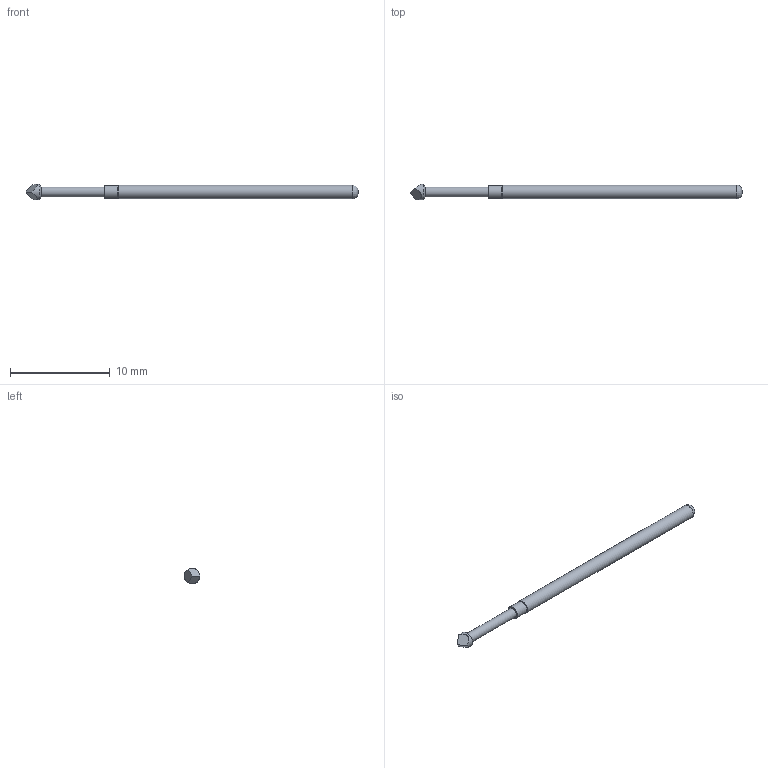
import cadquery as cq
import math

overall_length = 33.28
AXIS_START = (0, 0, 0)
AXIS_END = (1, 0, 0)
FULL_TURN = 360

head_radius = 0.785
head_length = 1.52
head_chamfer_length = 0.15
tip_face_count = 3
tip_face_angle = 35.0

plunger_radius = 0.5

collar_start = 7.87
collar_length = 1.32
collar_radius = 0.65

barrel_radius = 0.69
barrel_mouth_length = 0.06
barrel_end_fillet = 0.53

collar_end = collar_start + collar_length


def rod(start, end, radius):
    """Cylinder on the X axis from start to end."""
    return cq.Workplane("YZ", origin=(start, 0, 0)).circle(radius).extrude(end - start)


def tip_cutter(turn):
    """Wedge outside one sloping tip face, turned about the X axis."""
    reach = 2 * head_length
    rise = reach * math.tan(math.radians(tip_face_angle))
    wedge = (
        cq.Workplane("XY", origin=(0, 0, -reach))
        .moveTo(0, 0)
        .lineTo(reach, rise)
        .lineTo(-reach, rise)
        .lineTo(-reach, 0)
        .close()
        .extrude(2 * reach)
    )
    return wedge.rotate(AXIS_START, AXIS_END, turn)


def make_head():
    """Cylinder chamfered at the back down to the plunger and ground to a three-sided point."""
    head = (
        cq.Workplane("XY")
        .moveTo(0, 0)
        .lineTo(0, head_radius)
        .lineTo(head_length - head_chamfer_length, head_radius)
        .lineTo(head_length, plunger_radius)
        .lineTo(head_length, 0)
        .close()
        .revolve(FULL_TURN, AXIS_START, AXIS_END)
    )
    for face in range(tip_face_count):
        head = head.cut(tip_cutter(face * FULL_TURN / tip_face_count))
    return head


def make_barrel():
    """Long cylinder tapered at its mouth, whose far end curves in to a small flat."""
    return (
        cq.Workplane("XY")
        .moveTo(collar_end, 0)
        .lineTo(collar_end, collar_radius)
        .lineTo(collar_end + barrel_mouth_length, barrel_radius)
        .lineTo(overall_length - barrel_end_fillet, barrel_radius)
        .tangentArcPoint((overall_length, barrel_radius - barrel_end_fillet), relative=False)
        .lineTo(overall_length, 0)
        .close()
        .revolve(FULL_TURN, AXIS_START, AXIS_END)
    )


plunger = rod(head_length, collar_start, plunger_radius)
collar = rod(collar_start, collar_end, collar_radius)

result = make_head().union(plunger).union(collar).union(make_barrel())